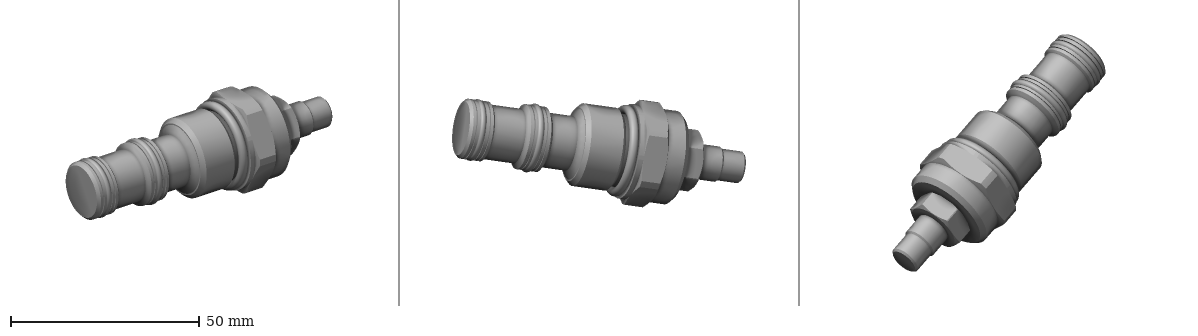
import cadquery as cq
import math


total_length = 78.8
housing_top = 60.2
nut_height = 5.7

stem_radius = 4.7
stem_tip_radius = 4.25
stem_tip_chamfer = 0.55
stem_shoulder_y = 72.4
stem_shoulder_chamfer = stem_radius - stem_tip_radius

nut_across_flats = 14.5
nut_corner_radius = 8.3
nut_top_face_radius = 7.1
nut_bottom_face_radius = 7.4

cap_radius = 12.5
cap_chamfer = 1.25
hex_across_flats = 25.4
hex_corner_radius = 14.1
hex_top = 54.1
hex_bottom = 47.6
hex_bottom_chamfer_height = 0.5
hex_chamfer_slope = math.tan(math.radians(30))
collar_flat_width = 1.1
collar_radius = math.hypot(hex_across_flats / 2, collar_flat_width / 2)
collar_bottom = 46.1

neck_radius = 9.8
barrel_radius = 11.1
barrel_top = 42.9
barrel_top_chamfer = 1.0
barrel_bottom = 32.85
barrel_bottom_chamfer = 1.2
step_outer_radius = barrel_radius - barrel_bottom_chamfer
step_radius = 9.5
step_y = barrel_bottom - barrel_bottom_chamfer
cone_bottom = 30.25

tube_radius = 7.3
side_groove_width = 0.3
side_groove_depth = 0.4

middle_land_radius = 8.75
middle_land_top = 23.3
middle_land_bottom = 15.75
middle_land_chamfer = 0.95

nose_land_radius = 8.0
nose_land_top = 7.0
nose_land_chamfer = 0.55
nose_chamfer = 0.8

collar_seal_section = 1.25
collar_seal_radius = neck_radius + 2 * collar_seal_section
collar_seal_y = collar_bottom - collar_seal_section

middle_seal_section = 0.95
middle_seal_radius = 9.2
middle_seal_y = (middle_land_top + middle_land_bottom) / 2
middle_side_groove_offset = 1.8

nose_seal_section = 0.9
nose_seal_radius = 8.3
nose_seal_y = 3.6
nose_side_groove_offset = 1.9


def turned(profile):
    """Solid of revolution about Y from (radius, y) points; both ends close on the axis."""
    first_y = profile[0][1]
    last_y = profile[-1][1]
    outline = [(0, first_y)] + profile + [(0, last_y)]
    return cq.Workplane("XY").polyline(outline).close().revolve(360, (0, 0, 0), (0, 1, 0))


def groove_ring(floor_radius, outer_radius, y_center, width):
    """Flat-sided ring about Y, used to cut a groove down to its floor radius."""
    return (
        cq.Workplane("XZ", origin=(0, y_center, 0))
        .circle(outer_radius)
        .circle(floor_radius)
        .extrude(width / 2, both=True)
    )


def hex_bar(across_flats):
    """Hexagonal bar along the whole part, flats facing +Z and -Z."""
    across_corners = across_flats / math.cos(math.radians(30))
    return cq.Workplane("XZ").polygon(6, across_corners).extrude(-total_length)


def o_ring(outer_radius, section_radius, y_center):
    center_radius = outer_radius - section_radius
    return (
        cq.Workplane("XY")
        .moveTo(center_radius, y_center)
        .circle(section_radius)
        .revolve(360, (0, 0, 0), (0, 1, 0))
    )


def make_stem():
    return turned([
        (stem_radius, housing_top),
        (stem_radius, stem_shoulder_y - stem_shoulder_chamfer),
        (stem_tip_radius, stem_shoulder_y),
        (stem_tip_radius, total_length - stem_tip_chamfer),
        (stem_tip_radius - stem_tip_chamfer, total_length),
    ])


def make_nut():
    nut_top = housing_top + nut_height
    top_chamfer = (nut_corner_radius - nut_top_face_radius) * hex_chamfer_slope
    bottom_chamfer = (nut_corner_radius - nut_bottom_face_radius) * hex_chamfer_slope
    blank = turned([
        (nut_bottom_face_radius, housing_top),
        (nut_corner_radius, housing_top + bottom_chamfer),
        (nut_corner_radius, nut_top - top_chamfer),
        (nut_top_face_radius, nut_top),
    ])
    bore = cq.Workplane("XZ").circle(stem_radius).extrude(-total_length)
    return blank.intersect(hex_bar(nut_across_flats)).cut(bore)


def make_housing_blank():
    top_chamfer = (hex_corner_radius - cap_radius) * hex_chamfer_slope
    return turned([
        (nose_land_radius - nose_chamfer, 0),
        (nose_land_radius, nose_chamfer),
        (nose_land_radius, nose_land_top - nose_land_chamfer),
        (tube_radius, nose_land_top),
        (tube_radius, middle_land_bottom),
        (middle_land_radius, middle_land_bottom + middle_land_chamfer),
        (middle_land_radius, middle_land_top - middle_land_chamfer),
        (tube_radius, middle_land_top),
        (tube_radius, cone_bottom),
        (step_radius, step_y),
        (step_outer_radius, step_y),
        (barrel_radius, barrel_bottom),
        (barrel_radius, barrel_top - barrel_top_chamfer),
        (barrel_radius - barrel_top_chamfer, barrel_top),
        (neck_radius, barrel_top),
        (neck_radius, collar_bottom),
        (collar_radius, collar_bottom),
        (collar_radius, hex_bottom),
        (hex_corner_radius, hex_bottom + hex_bottom_chamfer_height),
        (hex_corner_radius, hex_top - top_chamfer),
        (cap_radius, hex_top),
        (cap_radius, housing_top - cap_chamfer),
        (cap_radius - cap_chamfer, housing_top),
    ])


def cut_seal_grooves(body, land_radius, seal_radius, seal_section, seal_y, side_groove_offset):
    """Seat for an O-ring, with one narrow groove on each side of it."""
    seat_floor = seal_radius - 2 * seal_section
    body = body.cut(groove_ring(seat_floor, seal_radius, seal_y, 2 * seal_section))
    for side in (-1, 1):
        groove_y = seal_y + side * side_groove_offset
        groove_floor = land_radius - side_groove_depth
        body = body.cut(groove_ring(groove_floor, seal_radius, groove_y, side_groove_width))
    return body


def make_housing():
    body = make_housing_blank().intersect(hex_bar(hex_across_flats))
    body = cut_seal_grooves(
        body, middle_land_radius, middle_seal_radius,
        middle_seal_section, middle_seal_y, middle_side_groove_offset,
    )
    return cut_seal_grooves(
        body, nose_land_radius, nose_seal_radius,
        nose_seal_section, nose_seal_y, nose_side_groove_offset,
    )


housing = make_housing()
stem = make_stem()
jam_nut = make_nut()
o_rings = []
for outer_radius, section_radius, y_center in (
    (collar_seal_radius, collar_seal_section, collar_seal_y),
    (middle_seal_radius, middle_seal_section, middle_seal_y),
    (nose_seal_radius, nose_seal_section, nose_seal_y),
):
    o_rings.append(o_ring(outer_radius, section_radius, y_center).val())

result = cq.Compound.makeCompound([housing.val(), stem.val(), jam_nut.val(), *o_rings])